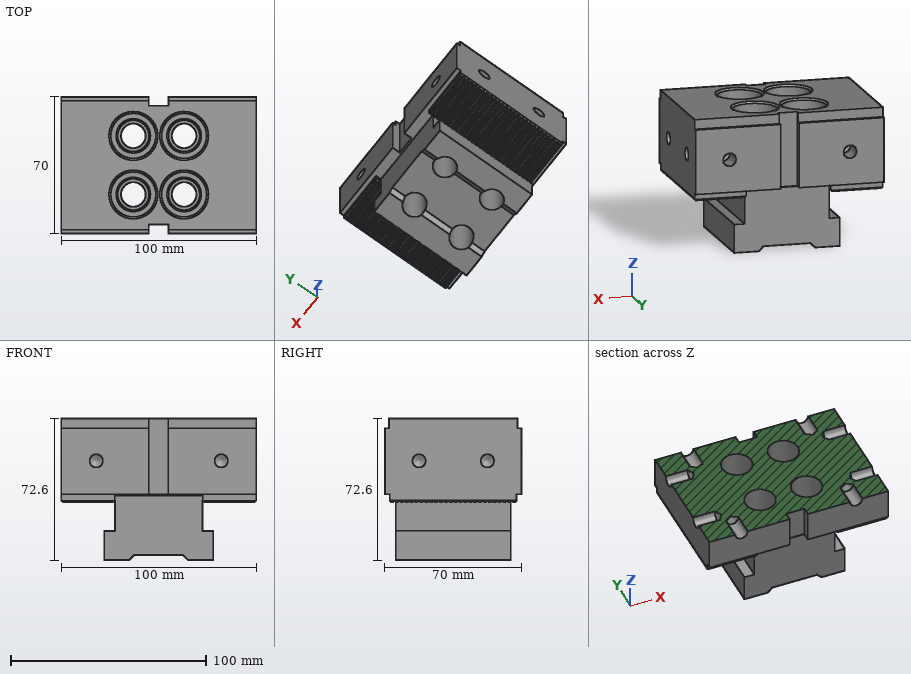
import cadquery as cq
import math

TOTAL_HEIGHT = 72.6

JAW_LENGTH = 100.0
JAW_WIDTH = 70.0
JAW_HEIGHT = 43.0
JAW_TOP_Z = TOTAL_HEIGHT
JAW_BOTTOM_Z = JAW_TOP_Z - JAW_HEIGHT

TOP_STEP_INSET = 2.0
TOP_STEP_HEIGHT = 5.0
BOTTOM_STEP_INSET = 2.5
BOTTOM_STEP_HEIGHT = 4.0

CHANNEL_WIDTH = 45.0
CHANNEL_DEPTH = BOTTOM_STEP_HEIGHT
FOOT_CHAMFER = 1.0

SIDE_GROOVE_WIDTH = 10.0
SIDE_GROOVE_DEPTH = 4.5

SERRATION_PITCH = 2.5
SERRATION_DEPTH = 0.8

SCREW_SPACING_X = 26.0
SCREW_SPACING_Y = 30.0
COUNTERBORE_DIAMETER = 23.0
COUNTERBORE_DEPTH = 16.0
COUNTERBORE_CHAMFER = 1.0
CLEARANCE_DIAMETER = 16.0
CLEARANCE_CHAMFER = 0.8
NUT_BORE_DIAMETER = 12.5

SIDE_HOLE_DIAMETER = 6.8
SIDE_HOLE_DEPTH = 12.0
SIDE_HOLE_TIP_ANGLE = 118.0
SIDE_HOLE_BELOW_TOP = 21.8
SIDE_HOLE_Z = JAW_TOP_Z - SIDE_HOLE_BELOW_TOP
LONG_SIDE_HOLE_SPACING = 64.0
END_HOLE_SPACING = 35.0

NUT_LENGTH = 59.0
NUT_BASE_WIDTH = 56.0
NUT_SHOULDER_Z = 15.0
NUT_HEIGHT = 33.0
NUT_RELIEF_WIDTH = 30.0
NUT_RELIEF_DEPTH = 2.5


def centred_box(length, width, bottom_z, top_z):
    """Box centred on the Z axis between two heights."""
    box = cq.Workplane("XY").box(length, width, top_z - bottom_z, centered=(True, True, False))
    return box.translate((0, 0, bottom_z))


def screw_positions():
    """Centres of the two by two pattern of screw holes."""
    return [
        (side_x * SCREW_SPACING_X / 2, side_y * SCREW_SPACING_Y / 2)
        for side_x in (-1, 1)
        for side_y in (-1, 1)
    ]


def jaw_blank():
    """Jaw block with stepped long edges."""
    top_step_z = JAW_TOP_Z - TOP_STEP_HEIGHT
    bottom_step_z = JAW_BOTTOM_Z + BOTTOM_STEP_HEIGHT
    foot = centred_box(JAW_LENGTH, JAW_WIDTH - 2 * BOTTOM_STEP_INSET, JAW_BOTTOM_Z, bottom_step_z)
    middle = centred_box(JAW_LENGTH, JAW_WIDTH, bottom_step_z, top_step_z)
    head = centred_box(JAW_LENGTH, JAW_WIDTH - 2 * TOP_STEP_INSET, top_step_z, JAW_TOP_Z)
    return middle.union(foot).union(head)


def channel_and_chamfers():
    """Cutter for the channel and for the chamfers on both lower edges of each foot."""
    half_channel = CHANNEL_WIDTH / 2
    half_jaw = JAW_LENGTH / 2
    ceiling_z = JAW_BOTTOM_Z + CHANNEL_DEPTH
    cutter = centred_box(CHANNEL_WIDTH, JAW_WIDTH, JAW_BOTTOM_Z, ceiling_z)
    for edge_x, toward_foot in ((half_channel, 1), (-half_channel, -1), (half_jaw, -1), (-half_jaw, 1)):
        wedge = (
            cq.Workplane("XZ")
            .moveTo(edge_x, JAW_BOTTOM_Z)
            .lineTo(edge_x + toward_foot * FOOT_CHAMFER, JAW_BOTTOM_Z)
            .lineTo(edge_x, JAW_BOTTOM_Z + FOOT_CHAMFER)
            .close()
            .extrude(JAW_WIDTH / 2, both=True)
        )
        cutter = cutter.union(wedge)
    return cutter


def side_grooves():
    """Vertical grooves in both long sides, over the full jaw height."""
    full = centred_box(SIDE_GROOVE_WIDTH, JAW_WIDTH, JAW_BOTTOM_Z, JAW_TOP_Z)
    kept = centred_box(SIDE_GROOVE_WIDTH, JAW_WIDTH - 2 * SIDE_GROOVE_DEPTH, JAW_BOTTOM_Z, JAW_TOP_Z)
    return full.cut(kept)


def serration_grooves():
    """V grooves that run along X, spaced evenly from the middle of the jaw to just past its edges."""
    grooves_per_side = math.ceil((JAW_WIDTH / 2 - BOTTOM_STEP_INSET) / SERRATION_PITCH)
    grooves = cq.Workplane("YZ")
    for index in range(-grooves_per_side, grooves_per_side + 1):
        centre_y = index * SERRATION_PITCH
        grooves = (
            grooves.moveTo(centre_y - SERRATION_DEPTH, JAW_BOTTOM_Z)
            .lineTo(centre_y, JAW_BOTTOM_Z + SERRATION_DEPTH)
            .lineTo(centre_y + SERRATION_DEPTH, JAW_BOTTOM_Z)
            .close()
        )
    return grooves.extrude(JAW_LENGTH / 2, both=True)


def jaw_screw_hole():
    """Chamfered counterbore above a chamfered clearance hole, on the Z axis."""
    head_radius = COUNTERBORE_DIAMETER / 2
    shank_radius = CLEARANCE_DIAMETER / 2
    floor_z = JAW_TOP_Z - COUNTERBORE_DEPTH
    profile = [
        (0, JAW_BOTTOM_Z),
        (shank_radius, JAW_BOTTOM_Z),
        (shank_radius, floor_z - CLEARANCE_CHAMFER),
        (shank_radius + CLEARANCE_CHAMFER, floor_z),
        (head_radius, floor_z),
        (head_radius, JAW_TOP_Z - COUNTERBORE_CHAMFER),
        (head_radius + COUNTERBORE_CHAMFER, JAW_TOP_Z),
        (0, JAW_TOP_Z),
    ]
    return cq.Workplane("XZ").polyline(profile).close().revolve(360, (0, 0), (0, 1))


def drilled_hole():
    """Blind hole with a conical tip, drilled from the origin along +X."""
    radius = SIDE_HOLE_DIAMETER / 2
    tip_length = radius / math.tan(math.radians(SIDE_HOLE_TIP_ANGLE / 2))
    profile = [
        (0, 0),
        (0, radius),
        (SIDE_HOLE_DEPTH, radius),
        (SIDE_HOLE_DEPTH + tip_length, 0),
    ]
    return cq.Workplane("XY").polyline(profile).close().revolve(360, (0, 0), (1, 0))


def side_holes():
    """Pairs of drilled holes in the two ends and the two long sides."""
    holes = []
    for face_angle, face_distance, spacing in (
        (0, JAW_LENGTH / 2, END_HOLE_SPACING),
        (90, JAW_WIDTH / 2, LONG_SIDE_HOLE_SPACING),
        (180, JAW_LENGTH / 2, END_HOLE_SPACING),
        (270, JAW_WIDTH / 2, LONG_SIDE_HOLE_SPACING),
    ):
        for side in (-1, 1):
            hole = drilled_hole().translate((-face_distance, side * spacing / 2, SIDE_HOLE_Z))
            holes.append(hole.rotate((0, 0, 0), (0, 0, 1), face_angle))
    return holes


def make_jaw():
    """Serrated jaw block with its screw holes and side holes."""
    jaw = jaw_blank().cut(channel_and_chamfers()).cut(side_grooves()).cut(serration_grooves())
    for x, y in screw_positions():
        jaw = jaw.cut(jaw_screw_hole().translate((x, y, 0)))
    for hole in side_holes():
        jaw = jaw.cut(hole)
    return jaw


def make_nut():
    """T-shaped nut with a relieved base; its neck fills the width of the jaw channel."""
    half_base = NUT_BASE_WIDTH / 2
    half_neck = CHANNEL_WIDTH / 2
    half_relief = NUT_RELIEF_WIDTH / 2
    half_relief_top = half_relief - NUT_RELIEF_DEPTH
    section = [
        (-half_base, 0),
        (-half_relief, 0),
        (-half_relief_top, NUT_RELIEF_DEPTH),
        (half_relief_top, NUT_RELIEF_DEPTH),
        (half_relief, 0),
        (half_base, 0),
        (half_base, NUT_SHOULDER_Z),
        (half_neck, NUT_SHOULDER_Z),
        (half_neck, NUT_HEIGHT),
        (-half_neck, NUT_HEIGHT),
        (-half_neck, NUT_SHOULDER_Z),
        (-half_base, NUT_SHOULDER_Z),
    ]
    nut = cq.Workplane("XZ").polyline(section).close().extrude(NUT_LENGTH / 2, both=True)
    bores = cq.Workplane("XY").pushPoints(screw_positions()).circle(NUT_BORE_DIAMETER / 2).extrude(NUT_HEIGHT)
    return nut.cut(bores)


jaw = make_jaw()
nut = make_nut()

result = cq.Compound.makeCompound([*jaw.solids().vals(), *nut.solids().vals()])